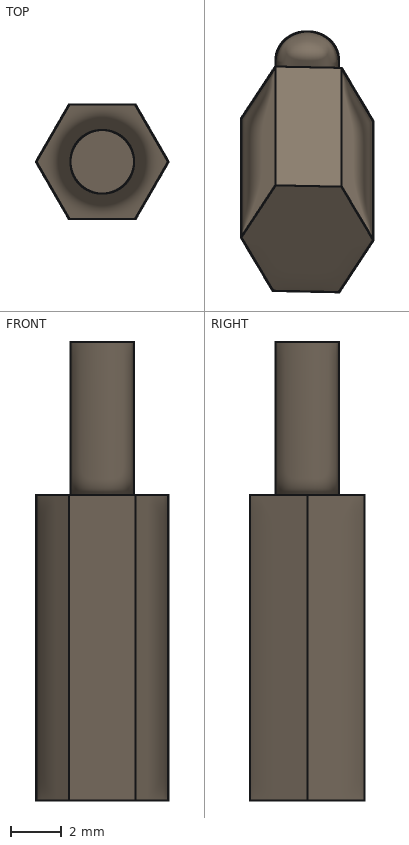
import cadquery as cq
import math

across_flats = 4.5
body_height = 12.0
stud_diameter = 2.5
stud_height = 6.0

across_corners = across_flats / math.cos(math.radians(30))


def hex_body():
    """Hexagonal prism with corners on the X axis and flats facing +Y and -Y."""
    return cq.Workplane("XY").polygon(6, across_corners).extrude(body_height)


def add_stud(body):
    """Round stud centred on the top face of the body."""
    return body.faces(">Z").workplane().circle(stud_diameter / 2).extrude(stud_height)


result = add_stud(hex_body())